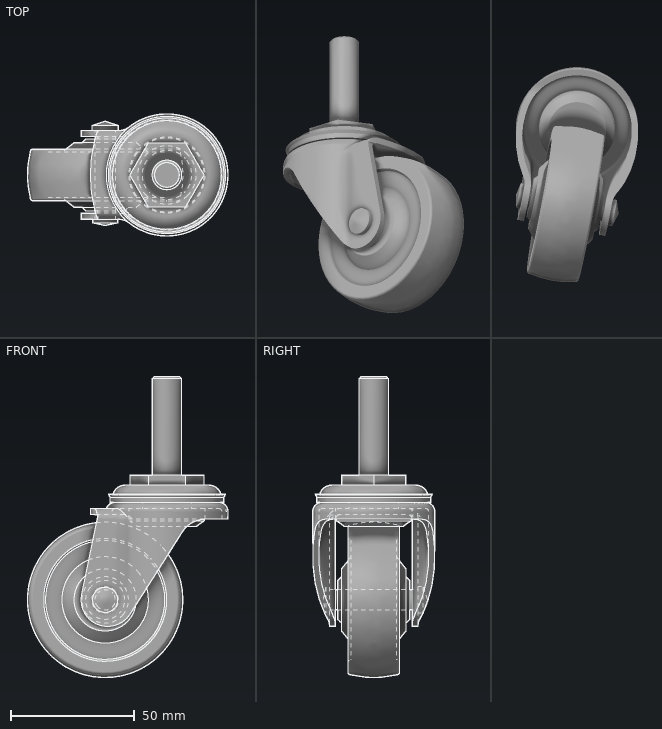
import cadquery as cq
import math


trail = 25.0
wheel_radius = 31.5
overall_height = 122.0
stem_top = overall_height - wheel_radius

stem_radius = 6.0
stem_length = 40.0
stem_chamfer = 1.0
hex_across_flats = 26.0
hex_height = 4.0
hex_top = stem_top - stem_length
cap_top = hex_top - hex_height
cap_flat_radius = 16.7
dome_radius = 22.0
dome_bottom = cap_top - 4.0
lip_radius = 23.75
lip_height = 1.0
lip_rise = 0.25
cap_radius = 23.1
cap_bottom = 39.5
neck_radius = 10.0
race_radius = 15.4
race_bottom = 29.6
race_bevel_width = 3.2
race_bevel_height = 2.3
race_edge_width = 0.4
race_edge_height = 0.9

sheet = 2.5
head_radius = 24.75
head_top = cap_bottom
head_round = 3.8
skirt_bottom = 32.65
arm_half_width = 18.0
arm_top = 37.0
arm_bend_radius = 4.35
flare_radius = 7.0
front_edge_top = 34.3
arm_reach = 31.0
front_edge_radius = 57.0
tip_x = -24.0
tip_radius = 10.75
front_edge_lean = math.radians(11.6)
rear_edge_slope = math.radians(57.5)
skirt_corner_radius = 11.0

tyre_half_width = 10.5
tread_half_width = 9.35
tread_edge_radius = 30.4
tyre_face_radius = 29.2
web_outer_radius = 24.1
step_top_radius = 24.9
web_half_width = 9.2
hub_cone_base = 17.5
hub_cone_top = 12.6
hub_half_width = 13.1
boss_base = 9.4
boss_top = 7.9
boss_half_width = 14.6

axle_radius = 4.1
large_head = {"radius": 5.4, "rim": 2.0, "peak": 1.8}
small_head = {"radius": 5.1, "rim": 1.4, "peak": 1.1}


def make_mount():
    """Turned cap, neck and lower race, with the hexagon and the stem on top."""
    dome_run = dome_radius - cap_flat_radius
    bevel_outer_radius = race_radius - race_edge_width
    bevel_top = race_bottom + race_bevel_height
    turned = (
        cq.Workplane("XZ")
        .moveTo(0, race_bottom)
        .lineTo(bevel_outer_radius - race_bevel_width, race_bottom)
        .lineTo(bevel_outer_radius, bevel_top)
        .lineTo(race_radius, bevel_top + race_edge_height)
        .lineTo(race_radius, head_top - sheet)
        .lineTo(neck_radius, head_top - sheet)
        .lineTo(neck_radius, cap_bottom)
        .lineTo(cap_radius, cap_bottom)
        .lineTo(cap_radius, dome_bottom - lip_height)
        .lineTo(lip_radius, dome_bottom + lip_rise)
        .lineTo(cap_radius, dome_bottom)
        .lineTo(dome_radius, dome_bottom)
        .radiusArc((cap_flat_radius, cap_top), -dome_run)
        .lineTo(0, cap_top)
        .close()
        .revolve(360, (0, 0), (0, 1))
    )
    hexagon = (
        cq.Workplane("XY", origin=(0, 0, cap_top))
        .polygon(6, hex_across_flats / math.cos(math.pi / 6))
        .extrude(hex_height)
    )
    stem = (
        cq.Workplane("XY", origin=(0, 0, hex_top))
        .circle(stem_radius)
        .extrude(stem_length)
        .faces(">Z")
        .chamfer(stem_chamfer)
    )
    return turned.union(hexagon).union(stem)


def fork_block(inset):
    """Solid bounded by the fork's outer skin moved inward by `inset`."""
    low = -2 * tip_radius
    radius = head_radius - inset
    half_width = arm_half_width - inset
    flare = flare_radius + inset
    top = arm_top - inset

    flare_y = arm_half_width + flare_radius
    flare_x = -math.sqrt((head_radius + flare_radius) ** 2 - flare_y**2)
    to_head = radius / (head_radius + flare_radius)
    head_x = flare_x * to_head
    head_y = flare_y * to_head
    back_x = -2 * arm_reach

    arm = (
        cq.Workplane("XY", origin=(0, 0, low))
        .moveTo(back_x, -half_width)
        .lineTo(flare_x, -half_width)
        .radiusArc((head_x, -head_y), flare)
        .lineTo(head_x, head_y)
        .radiusArc((flare_x, half_width), flare)
        .lineTo(back_x, half_width)
        .close()
        .extrude(top - low)
    )
    arm = arm.faces(">Z").edges().filter(lambda edge: abs(edge.Center().y) > half_width / 2)
    arm = arm.fillet(arm_bend_radius - inset)
    head = (
        cq.Workplane("XY", origin=(0, 0, low))
        .circle(radius)
        .extrude(head_top - inset - low)
        .faces(">Z")
        .edges()
        .fillet(head_round - inset)
    )
    return head.union(arm)


def fork_side_outline():
    """Side shape of the fork, as a solid across its whole width."""
    front_x = tip_x - tip_radius * math.cos(front_edge_lean)
    front_z = tip_radius * math.sin(front_edge_lean)
    front_top_x = front_x + (front_edge_top - front_z) * math.tan(front_edge_lean)

    rear_x = tip_x + tip_radius * math.sin(rear_edge_slope)
    rear_z = -tip_radius * math.cos(rear_edge_slope)
    corner_x = rear_x + (skirt_bottom - rear_z) / math.tan(rear_edge_slope)
    corner_run = skirt_corner_radius * math.tan(rear_edge_slope / 2)
    corner_end_x = corner_x - corner_run * math.cos(rear_edge_slope)
    corner_end_z = skirt_bottom - corner_run * math.sin(rear_edge_slope)

    far_x = 2 * head_radius
    above = 2 * head_top
    return (
        cq.Workplane("XZ")
        .moveTo(-far_x, above)
        .lineTo(-far_x, front_edge_top)
        .lineTo(front_top_x, front_edge_top)
        .lineTo(front_x, front_z)
        .threePointArc((tip_x, -tip_radius), (rear_x, rear_z))
        .lineTo(corner_end_x, corner_end_z)
        .radiusArc((corner_x + corner_run, skirt_bottom), skirt_corner_radius)
        .lineTo(far_x, skirt_bottom)
        .lineTo(far_x, above)
        .close()
        .extrude(2 * head_radius, both=True)
    )


def make_fork():
    """Bent sheet fork with holes for the mount's neck and the axle."""
    front_trim = (
        cq.Workplane("XY", origin=(-trail, 0, front_edge_top))
        .rect(2 * trail, 2 * head_radius)
        .extrude(head_top)
    ).cut(
        cq.Workplane("XY", origin=(front_edge_radius - arm_reach, 0, 0))
        .circle(front_edge_radius)
        .extrude(2 * head_top)
    )
    neck_hole = cq.Workplane("XY").circle(neck_radius).extrude(2 * head_top)
    axle_hole = (
        cq.Workplane("XZ", origin=(-trail, 0, 0))
        .circle(axle_radius)
        .extrude(2 * arm_half_width, both=True)
    )
    return (
        fork_block(0)
        .cut(fork_block(sheet))
        .intersect(fork_side_outline())
        .cut(front_trim)
        .cut(neck_hole)
        .cut(axle_hole)
    )


def make_wheel():
    """Turned wheel: crowned tread, recessed webs and a conical hub, bored for the axle."""
    shoulder = [
        (axle_radius, boss_half_width),
        (boss_top, boss_half_width),
        (boss_base, hub_half_width),
        (hub_cone_top, hub_half_width),
        (hub_cone_base, web_half_width),
        (web_outer_radius, web_half_width),
        (step_top_radius, tyre_half_width),
        (tyre_face_radius, tyre_half_width),
    ]
    edge_round = tyre_half_width - tread_half_width
    return (
        cq.Workplane("XY")
        .polyline(shoulder)
        .radiusArc((tread_edge_radius, tread_half_width), edge_round)
        .threePointArc((wheel_radius, 0), (tread_edge_radius, -tread_half_width))
        .radiusArc((tyre_face_radius, -tyre_half_width), edge_round)
        .polyline([(r, -y) for r, y in reversed(shoulder[:-1])], includeCurrent=True)
        .close()
        .revolve(360, (0, 0), (0, 1))
        .translate((-trail, 0, 0))
    )


def make_axle():
    """Rivet along Y with the large head at +Y and the small head at -Y, both with conical ends."""
    large_rim = arm_half_width + large_head["rim"]
    small_rim = -arm_half_width - small_head["rim"]
    return (
        cq.Workplane("XY")
        .moveTo(0, small_rim - small_head["peak"])
        .lineTo(small_head["radius"], small_rim)
        .lineTo(small_head["radius"], -arm_half_width)
        .lineTo(axle_radius, -arm_half_width)
        .lineTo(axle_radius, arm_half_width)
        .lineTo(large_head["radius"], arm_half_width)
        .lineTo(large_head["radius"], large_rim)
        .lineTo(0, large_rim + large_head["peak"])
        .close()
        .revolve(360, (0, 0), (0, 1))
        .translate((-trail, 0, 0))
    )


mount = make_mount()
fork = make_fork()
wheel = make_wheel()
axle = make_axle()

result = cq.Compound.makeCompound([mount.val(), fork.val(), wheel.val(), axle.val()])